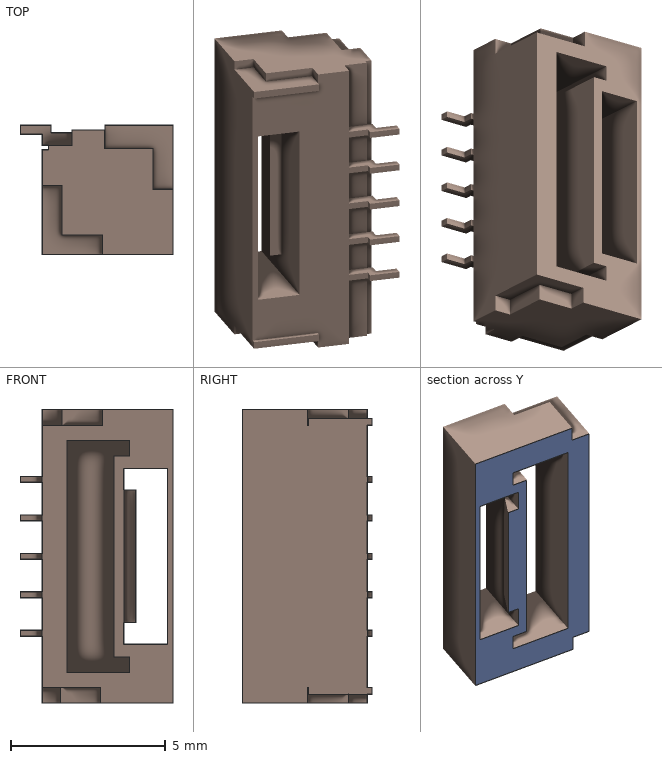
import cadquery as cq

body_width = 4.25
body_depth = 4.05
body_height = 9.52

contact_seat_x = 0.96
contact_seat_y = 3.54
lip_x = 0.2
lip_y = 3.4

notch_height = 0.51
notch_left_width = 0.64
notch_front_depth = 0.64
notch_front_reach_y = 2.24
top_notch_reach_x = 1.95
bottom_notch_left_width = 0.6
bottom_notch_reach_x = 1.885
rear_notch_left_x = 2.02
rear_notch_front_y = 2.11
rear_notch_inner_x = 3.6
rear_notch_inner_y = 3.44

tab_thickness = 0.23
tab_rear_y = 4.2
tab_clearance = 0.02

cavity_left_x = 0.8
cavity_right_x = 2.84
cavity_rear_y = 3.25
cavity_end_wall = 1.0
tongue_left_x = 2.32
tongue_end_wall = 1.5

window_left_x = 2.65
window_right_x = 4.06
window_end_wall = 1.91

ramp_height = 0.39
ramp_length = 4.3
ramp_start_y = 1.14
ramp_run = 1.0

lead_count = 5
lead_pitch = 1.25
lead_width = 0.2
lead_tip_x = -0.7
lead_bend_x = 0.295
lead_foot_front_y = 3.89
lead_shank_rear_y = 3.95

middle_z = body_height / 2


def prism(outline, bottom_z, height):
    """Extrude a closed XY outline upwards from bottom_z."""
    return cq.Workplane("XY").workplane(offset=bottom_z).polyline(outline).close().extrude(height)


def ell(corner, reach_x, reach_y, inner_x, inner_y):
    """L outline whose outer corner is given, with arms ending at reach_x and reach_y."""
    corner_x, corner_y = corner
    return [
        (corner_x, corner_y),
        (reach_x, corner_y),
        (reach_x, inner_y),
        (inner_x, inner_y),
        (inner_x, reach_y),
        (corner_x, reach_y),
    ]


def make_body():
    outline = [
        (0, 0),
        (body_width, 0),
        (body_width, body_depth),
        (contact_seat_x, body_depth),
        (contact_seat_x, contact_seat_y),
        (lip_x, contact_seat_y),
        (lip_x, lip_y),
        (0, lip_y),
    ]
    return prism(outline, 0, body_height)


def front_notch(reach_x, left_width, bottom_z):
    outline = ell((0, 0), reach_x, notch_front_reach_y, left_width, notch_front_depth)
    return prism(outline, bottom_z, notch_height)


def rear_notch(bottom_z):
    outline = ell(
        (body_width, body_depth),
        rear_notch_left_x,
        rear_notch_front_y,
        rear_notch_inner_x,
        rear_notch_inner_y,
    )
    return prism(outline, bottom_z, notch_height)


def solder_tab(bottom_z):
    outline = ell(
        (body_width, tab_rear_y),
        rear_notch_left_x + tab_clearance,
        rear_notch_front_y + tab_clearance,
        rear_notch_inner_x,
        rear_notch_inner_y,
    )
    return prism(outline, bottom_z, tab_thickness)


def front_opening(left_x, right_x, end_wall, depth):
    """Box cut from the front face, centred on the housing height."""
    height = body_height - 2 * end_wall
    opening = cq.Workplane("XY").box(right_x - left_x, depth, height, centered=False)
    return opening.translate((left_x, 0, end_wall))


def plug_cavity():
    cavity = front_opening(cavity_left_x, cavity_right_x, cavity_end_wall, cavity_rear_y)
    tongue = front_opening(tongue_left_x, cavity_right_x, tongue_end_wall, cavity_rear_y)
    return cavity.cut(tongue)


def latch_ramp():
    outline = [
        (window_left_x, ramp_start_y),
        (window_left_x + ramp_height, ramp_start_y + ramp_run),
        (window_left_x, ramp_start_y + ramp_run),
    ]
    return prism(outline, middle_z - ramp_length / 2, ramp_length)


def contact_lead(centre_z):
    outline = [
        (lead_tip_x, tab_rear_y),
        (lead_tip_x, lead_foot_front_y),
        (0, lead_foot_front_y),
        (0, contact_seat_y),
        (contact_seat_x, contact_seat_y),
        (contact_seat_x, lead_shank_rear_y),
        (lead_bend_x, lead_shank_rear_y),
        (lead_bend_x, tab_rear_y),
    ]
    return prism(outline, centre_z - lead_width / 2, lead_width)


top_notch_z = body_height - notch_height

result = make_body()
result = result.cut(front_notch(top_notch_reach_x, notch_left_width, top_notch_z))
result = result.cut(front_notch(bottom_notch_reach_x, bottom_notch_left_width, 0))
result = result.cut(plug_cavity())
result = result.cut(front_opening(window_left_x, window_right_x, window_end_wall, body_depth))
result = result.union(latch_ramp())

for notch_z in (0, top_notch_z):
    result = result.cut(rear_notch(notch_z))

for tab_z in (notch_height - tab_thickness, top_notch_z):
    result = result.union(solder_tab(tab_z))

for index in range(lead_count):
    offset = (index - (lead_count - 1) / 2) * lead_pitch
    result = result.union(contact_lead(middle_z + offset))